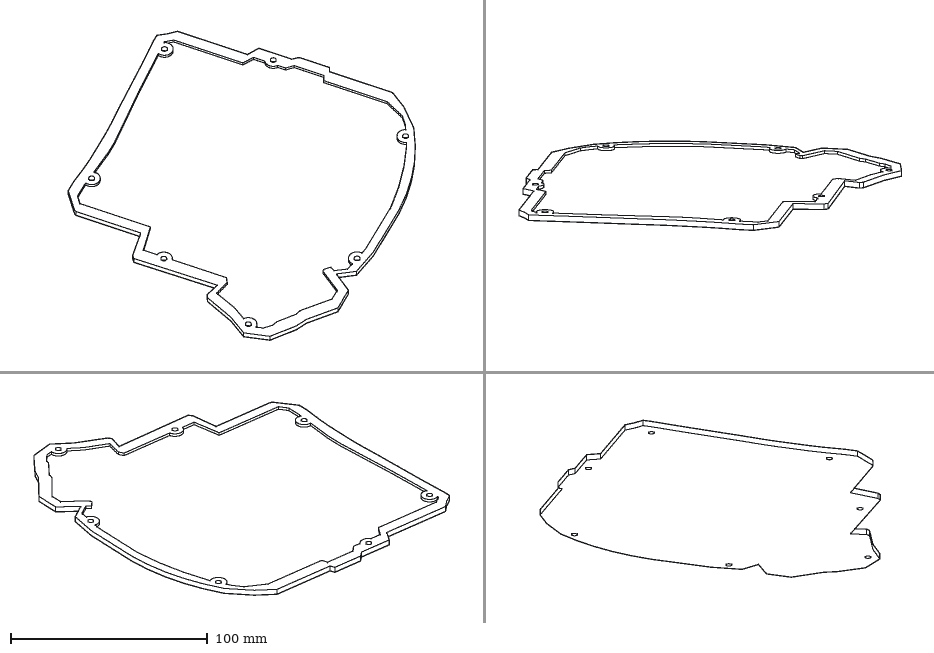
import cadquery as cq

WIDTH = 161.31
LENGTH = 184.2
THICKNESS = 3.0
POCKET_DEPTH = 1.5
FLOOR_THICKNESS = THICKNESS - POCKET_DEPTH

HOLE_DIAMETER = 3.0
BOSS_DIAMETER = 8.8
SCREW_POSITIONS = [
    (7.4, 161.5),
    (60.9, 177.2),
    (143.6, 157.0),
    (155.5, 70.3),
    (123.6, 6.5),
    (66.0, 30.0),
    (10.0, 65.3),
]

BACK_LEFT_Y = 175.3
BACK_Y = 181.6
FRONT_LEFT_Y = 41.2
FRONT_Y = 23.8
FOOT_RIGHT_X = 160.5
LEFT_WAIST_X = 3.9

POCKET_BACK_LEFT_Y = 169.0
POCKET_BACK_Y = 174.7
POCKET_BACK_TAB_Y = 178.0
POCKET_FRONT_LEFT_Y = 47.0
POCKET_FRONT_Y = 31.0
POCKET_FOOT_RIGHT_X = 155.3
POCKET_RIGHT_X = 156.8
POCKET_WAIST_X = 10.4


def trace_lines(path, points):
    """Continue a path with straight lines through the points."""
    for x, y in points:
        path = path.lineTo(x, y)
    return path


def outer_outline():
    """Plate outline, clockwise from the upper left corner."""
    back_edge = [
        (4.6, 171.7),
        (8.4, BACK_LEFT_Y),
        (47.4, BACK_LEFT_Y),
        (50.9, BACK_Y),
        (69.2, BACK_Y),
        (72.2, LENGTH),
        (89.2, LENGTH),
        (90.2, BACK_Y),
        (125.3, BACK_Y),
        (134.7, 174.9),
        (145.2, 163.8),
    ]
    foot = [
        (WIDTH, 77.7),
        (158.9, 62.0),
        (150.3, 56.2),
        (156.7, 51.4),
        (FOOT_RIGHT_X, 48.5),
        (FOOT_RIGHT_X, 35.2),
        (149.2, 21.5),
        (146.4, 15.4),
        (137.1, 3.3),
        (123.9, 0.0),
        (113.7, 7.1),
        (97.3, 14.5),
        (96.2, 16.4),
        (98.3, 24.4),
    ]
    front_and_left_edges = [
        (52.1, FRONT_Y),
        (50.6, 25.7),
        (48.1, FRONT_LEFT_Y),
        (12.0, FRONT_LEFT_Y),
        (10.8, 42.1),
        (2.6, 52.7),
        (2.6, 59.4),
        (3.6, 70.9),
        (LEFT_WAIST_X, 78.0),
        (LEFT_WAIST_X, 96.0),
        (3.6, 103.7),
        (2.8, 115.2),
        (2.5, 121.6),
        (2.1, 129.3),
        (1.3, 144.7),
        (0.9, 151.1),
        (0.0, 164.3),
    ]
    path = cq.Workplane("XY").moveTo(0.0, 168.5)
    path = trace_lines(path, back_edge)
    path = path.threePointArc((157.2, 135.5), (WIDTH, 109.5))
    path = trace_lines(path, foot + front_and_left_edges)
    return path.close()


def pocket_outline():
    """Pocket outline without bosses, clockwise from the upper left corner."""
    back_edge = [
        (9.2, POCKET_BACK_LEFT_Y),
        (47.6, POCKET_BACK_LEFT_Y),
        (51.1, POCKET_BACK_Y),
        (68.9, POCKET_BACK_Y),
        (72.2, POCKET_BACK_TAB_Y),
        (88.8, POCKET_BACK_TAB_Y),
        (89.9, POCKET_BACK_Y),
        (125.4, POCKET_BACK_Y),
        (136.5, 168.9),
        (140.4, 164.0),
        (146.4, 152.2),
    ]
    foot = [
        (POCKET_RIGHT_X, 78.0),
        (154.1, 61.6),
        (148.3, 57.8),
        (145.8, 59.3),
        (143.2, 56.5),
        (143.2, 55.2),
        (POCKET_FOOT_RIGHT_X, 46.2),
        (POCKET_FOOT_RIGHT_X, 39.5),
        (143.8, 25.7),
        (142.9, 22.5),
        (136.1, 13.8),
        (135.2, 10.9),
        (131.6, 7.1),
        (124.9, 5.5),
        (119.8, 9.0),
        (112.7, 13.8),
        (100.2, 19.3),
        (102.1, 28.3),
        (100.5, POCKET_FRONT_Y),
    ]
    front_and_left_edges = [
        (54.1, POCKET_FRONT_Y),
        (50.9, POCKET_FRONT_LEFT_Y),
        (11.7, POCKET_FRONT_LEFT_Y),
        (8.5, 51.4),
        (8.5, 59.4),
        (POCKET_WAIST_X, 84.4),
        (POCKET_WAIST_X, 93.4),
        (7.4, 130.0),
    ]
    path = cq.Workplane("XY").workplane(offset=FLOOR_THICKNESS).moveTo(5.3, 165.9)
    path = trace_lines(path, back_edge)
    path = path.threePointArc((153.2, 130.5), (POCKET_RIGHT_X, 108.8))
    path = trace_lines(path, foot + front_and_left_edges)
    return path.close()


def screw_cylinders(diameter, bottom, height):
    """One upright cylinder at each screw position."""
    plane = cq.Workplane("XY").workplane(offset=bottom)
    return plane.pushPoints(SCREW_POSITIONS).circle(diameter / 2).extrude(height)


plate = outer_outline().extrude(THICKNESS)
bosses = screw_cylinders(BOSS_DIAMETER, FLOOR_THICKNESS, POCKET_DEPTH)
pocket = pocket_outline().extrude(POCKET_DEPTH).cut(bosses)
screw_holes = screw_cylinders(HOLE_DIAMETER, 0.0, THICKNESS)

result = plate.cut(pocket).cut(screw_holes)